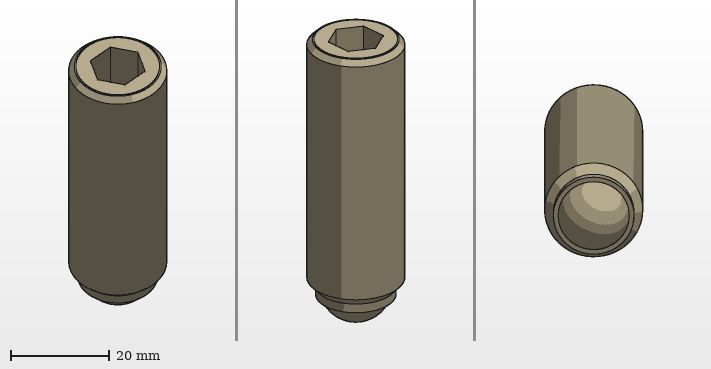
import cadquery as cq
import math

TOTAL_LENGTH = 64.2
SCREW_RADIUS = 10.0

TOP_CHAMFER = 1.15
TOP_RIM_RADIUS = 8.55
TOP_RIM_DROP = 0.1
POINT_CHAMFER_HEIGHT = 1.9
POINT_RADIUS = 8.2
COLLAR_HEIGHT = 2.0

HEX_ACROSS_FLATS = 10.0
HEX_DEPTH = 10.0
DRILL_POINT_ANGLE = 120.0

BALL_RADIUS = 7.5
BALL_EXPOSED_HEIGHT = 5.5

collar_bottom = BALL_EXPOSED_HEIGHT
collar_top = collar_bottom + COLLAR_HEIGHT
thread_bottom = collar_top + POINT_CHAMFER_HEIGHT
top_rim_height = TOTAL_LENGTH - TOP_RIM_DROP
thread_top = top_rim_height - TOP_CHAMFER


def make_ball():
    """Full ball whose lowest point is at the origin."""
    return cq.Workplane("XY").sphere(BALL_RADIUS).translate((0, 0, BALL_RADIUS))


def make_screw_blank():
    """Turned screw with a chamfered head end and a collared point."""
    profile = [
        (0, collar_bottom),
        (POINT_RADIUS, collar_bottom),
        (POINT_RADIUS, collar_top),
        (SCREW_RADIUS, thread_bottom),
        (SCREW_RADIUS, thread_top),
        (SCREW_RADIUS - TOP_CHAMFER, top_rim_height),
        (TOP_RIM_RADIUS, top_rim_height),
        (TOP_RIM_RADIUS, TOTAL_LENGTH),
        (0, TOTAL_LENGTH),
    ]
    return cq.Workplane("XZ").polyline(profile).close().revolve(360, (0, 0, 0), (0, 1, 0))


def make_hex_socket():
    """Hexagonal prism whose bottom is trimmed to a drill-point cone."""
    corner_radius = HEX_ACROSS_FLATS / math.sqrt(3)
    cone_height = corner_radius / math.tan(math.radians(DRILL_POINT_ANGLE / 2))
    cone_top = TOTAL_LENGTH - HEX_DEPTH
    cone_tip = cone_top - cone_height
    prism = (
        cq.Workplane("XY", origin=(0, 0, cone_tip))
        .polygon(6, 2 * corner_radius)
        .extrude(TOTAL_LENGTH - cone_tip)
    )
    drill_profile = [
        (0, cone_tip),
        (corner_radius, cone_top),
        (corner_radius, TOTAL_LENGTH),
        (0, TOTAL_LENGTH),
    ]
    drill = (
        cq.Workplane("XZ")
        .polyline(drill_profile)
        .close()
        .revolve(360, (0, 0, 0), (0, 1, 0))
    )
    return prism.intersect(drill)


ball = make_ball()
screw = make_screw_blank().cut(make_hex_socket()).cut(ball)

result = cq.Compound.makeCompound([screw.val(), ball.val()])